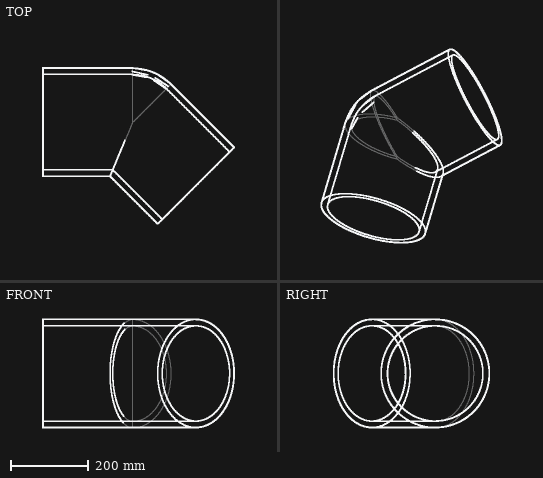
import cadquery as cq
import math

overall_length = 495.0
outer_diameter = 280.0
wall = 17.0
bend_angle = 45.0

outer_radius = outer_diameter / 2
inner_radius = outer_radius - wall
bend_cos = math.cos(math.radians(bend_angle))
bend_sin = math.sin(math.radians(bend_angle))

leg_length = (overall_length - outer_radius * bend_sin) / (1 + bend_cos)


def elbow_body(radius):
    """Two round legs meeting at the origin, with a ball rounding the outside of the bend."""
    legs = []
    for direction in ((-1, 0, 0), (bend_cos, -bend_sin, 0)):
        start_plane = cq.Plane(origin=(0, 0, 0), xDir=(0, 0, 1), normal=direction)
        legs.append(cq.Workplane(start_plane).circle(radius).extrude(leg_length))
    ball = cq.Workplane("XY").sphere(radius)
    return legs[0].union(legs[1]).union(ball)


result = elbow_body(outer_radius).cut(elbow_body(inner_radius))